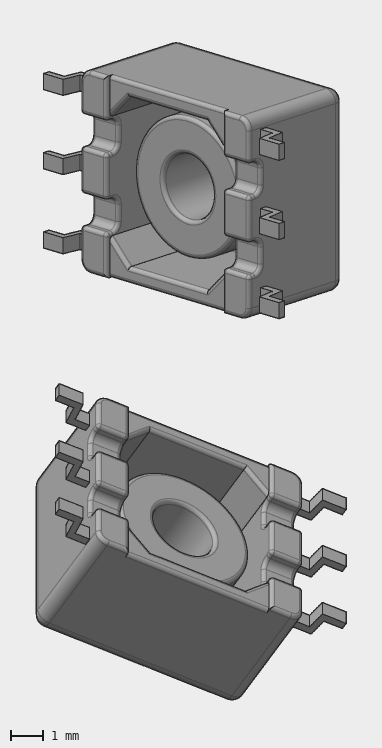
import cadquery as cq

span = 9.96
depth = 4.35
height = 6.48
pad_y = -depth / 2
back_y = depth / 2

housing_width = 7.13
body_round = 0.4
edge_round = 0.13
standoff = 0.15
foot_y = pad_y + standoff
rim_step = 0.14
rim_y = foot_y + rim_step

cavity_width = 4.9
cavity_height = 5.45
cavity_corner = 0.81
floor_round = 0.12
back_panel = 0.62
floor_y = back_y - back_panel

notch_width = 1.05
notch_depth = 0.52
notch_round = 0.25

lead_pitch = 2.54
lead_width = 0.52
lead_thickness = 0.25
lead_rise = 0.91
leg_foot_x = 4.15
leg_lean = 0.12
leg_width = 0.22
lead_embed = 0.2

core_diameter = 4.5
bore_diameter = 2.1
core_round = 0.13
core_recess = 1.03
core_front_y = foot_y + core_recess


def block(x_min, x_max, y_min, y_max, z_size):
    """Box between the given X and Y limits, centred on Z = 0."""
    box = cq.Workplane("XY").box(x_max - x_min, y_max - y_min, z_size)
    return box.translate(((x_min + x_max) / 2, (y_min + y_max) / 2, 0))


def outer_block():
    """Housing envelope with rounded corners and back edges."""
    envelope = block(-housing_width / 2, housing_width / 2, foot_y, back_y, height)
    envelope = envelope.edges("|Y").fillet(body_round)
    return envelope.faces(">Y").edges().fillet(body_round)


def cavity():
    """Octagonal pocket open at the front, rounded around its floor."""
    pocket = block(-cavity_width / 2, cavity_width / 2, foot_y, floor_y, cavity_height)
    pocket = pocket.edges("|Y").chamfer(cavity_corner)
    return pocket.faces(">Y").edges().fillet(floor_round)


def notches():
    """Two slots with rounded bottom corners across the side walls."""
    slot = block(-span / 2, span / 2, foot_y - notch_depth, foot_y + notch_depth, notch_width)
    slot = slot.edges("|X and >Y").fillet(notch_round)
    lower = slot.translate((0, 0, -lead_pitch / 2))
    upper = slot.translate((0, 0, lead_pitch / 2))
    return lower.add(upper).combine()


def side_wall():
    """Notched +X side wall, rounded around every foot and notch."""
    wall = outer_block().intersect(block(cavity_width / 2, span / 2, foot_y, back_y, height))
    wall = wall.cut(notches())
    front_zone = cq.selectors.BoxSelector(
        (0, foot_y - edge_round, -height),
        (span, foot_y + notch_depth + edge_round, height),
        boundingbox=True,
    )
    profile_edges = wall.edges(front_zone).edges("not |X")
    foot_ends = wall.faces("<Y").edges("|X")
    return wall.newObject(profile_edges.add(foot_ends).vals()).fillet(edge_round)


def middle():
    """Part between the side walls: back panel, two rim rails and the cavity."""
    body = outer_block().intersect(block(-cavity_width / 2, cavity_width / 2, rim_y, back_y, height))
    body = body.cut(cavity())
    return body.faces("<Y").edges("not |Z").fillet(edge_round)


def lead(z):
    """Gull-wing lead on the +X side, its end buried in the side wall."""
    tip_x = span / 2
    root_x = housing_width / 2 - lead_embed
    shoulder_y = pad_y + lead_rise
    lean_per_rise = leg_lean / lead_rise
    arm_under = lead_rise - lead_thickness
    profile = [
        (tip_x, pad_y),
        (leg_foot_x, pad_y),
        (leg_foot_x - lean_per_rise * arm_under, pad_y + arm_under),
        (root_x, pad_y + arm_under),
        (root_x, shoulder_y),
        (leg_foot_x + leg_width - leg_lean, shoulder_y),
        (leg_foot_x + leg_width - lean_per_rise * lead_thickness, pad_y + lead_thickness),
        (tip_x, pad_y + lead_thickness),
    ]
    strip = cq.Workplane("XY").polyline(profile).close().extrude(lead_width)
    return strip.translate((0, 0, z - lead_width / 2))


def make_housing():
    """Middle part joined with both side walls and three leads on each side."""
    right_side = side_wall()
    for row in (-1, 0, 1):
        right_side = right_side.union(lead(row * lead_pitch))
    left_side = right_side.mirror("YZ")
    return middle().union(right_side).union(left_side)


def make_core():
    """Ring with rounded front edges."""
    ring = (
        cq.Workplane("XZ", origin=(0, floor_y, 0))
        .circle(core_diameter / 2)
        .circle(bore_diameter / 2)
        .extrude(floor_y - core_front_y)
    )
    return ring.faces("<Y").edges().fillet(core_round)


housing = make_housing()
core = make_core()

result = cq.Compound.makeCompound([housing.val(), core.val()])